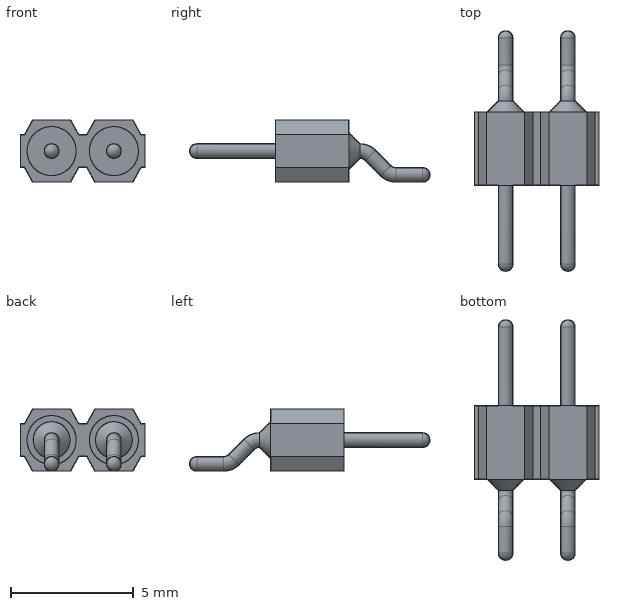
import cadquery as cq
import math


pin_count = 2
pitch = 2.54
housing_length = 3.0
crest_half_width = 0.77
shoulder_half_width = 1.11
shoulder_height = 0.67
half_height = pitch / 2
housing_half_width = pin_count * pitch / 2

overall_length = 9.8
pin_diameter = 0.6
barrel_diameter = 2.0
cone_diameter = 1.5
front_pin_length = 3.5
bend_radius = 0.6
bend_angle = math.radians(45)
pin_radius = pin_diameter / 2
cone_length = (cone_diameter - pin_diameter) / 2

tail_drop = half_height - pin_radius
bend_run = bend_radius * math.sin(bend_angle)
bend_drop = bend_radius * (1 - math.cos(bend_angle))
half_bend_run = bend_radius * math.sin(bend_angle / 2)
half_bend_drop = bend_radius * (1 - math.cos(bend_angle / 2))
slope_drop = tail_drop - 2 * bend_drop
slope_run = slope_drop / math.tan(bend_angle)
tail_start = housing_length + cone_length
lower_bend_end = tail_start + 2 * bend_run + slope_run
tail_tip_center = overall_length - front_pin_length - pin_radius

pin_positions = [(i - (pin_count - 1) / 2) * pitch for i in range(pin_count)]


def make_housing():
    """Row of flat-topped cells with notches between them, bored for the pins."""
    upper_edge = [(-housing_half_width, shoulder_height)]
    for x in pin_positions:
        upper_edge += [
            (x - shoulder_half_width, shoulder_height),
            (x - crest_half_width, half_height),
            (x + crest_half_width, half_height),
            (x + shoulder_half_width, shoulder_height),
        ]
    upper_edge.append((housing_half_width, shoulder_height))
    lower_edge = [(x, -z) for x, z in reversed(upper_edge)]
    block = cq.Workplane("XZ").polyline(upper_edge + lower_edge).close().extrude(-housing_length)
    bores = cq.Workplane("XZ").pushPoints([(x, 0) for x in pin_positions])
    return block.cut(bores.circle(barrel_diameter / 2).extrude(-housing_length))


def make_turned_part():
    """Round-tipped front pin, barrel and rear cone, revolved about the Y axis."""
    front_tip_center = -front_pin_length + pin_radius
    tip_arc_offset = pin_radius * math.sqrt(0.5)
    return (
        cq.Workplane("XY")
        .moveTo(0, -front_pin_length)
        .threePointArc(
            (tip_arc_offset, front_tip_center - tip_arc_offset),
            (pin_radius, front_tip_center),
        )
        .lineTo(pin_radius, 0)
        .lineTo(barrel_diameter / 2, 0)
        .lineTo(barrel_diameter / 2, housing_length)
        .lineTo(cone_diameter / 2, housing_length)
        .lineTo(pin_radius, tail_start)
        .lineTo(0, tail_start)
        .close()
        .revolve(360, (0, 0, 0), (0, 1, 0))
    )


def make_tail():
    """Round wire swept through two opposite bends, with a hemispherical tip."""
    path = (
        cq.Workplane("YZ")
        .moveTo(tail_start, 0)
        .threePointArc(
            (tail_start + half_bend_run, -half_bend_drop),
            (tail_start + bend_run, -bend_drop),
        )
        .lineTo(tail_start + bend_run + slope_run, -bend_drop - slope_drop)
        .threePointArc(
            (lower_bend_end - half_bend_run, -tail_drop + half_bend_drop),
            (lower_bend_end, -tail_drop),
        )
        .lineTo(tail_tip_center, -tail_drop)
    )
    wire = cq.Workplane("XZ", origin=(0, tail_start, 0)).circle(pin_radius).sweep(path)
    tip = cq.Workplane("XY").sphere(pin_radius).translate((0, tail_tip_center, -tail_drop))
    return wire.union(tip)


def make_pin(x):
    """One complete contact pin with its axis at the given x."""
    return make_turned_part().union(make_tail()).translate((x, 0, 0))


housing = make_housing()
pins = [make_pin(x) for x in pin_positions]

result = cq.Compound.makeCompound([housing.solids().val(), *[pin.solids().val() for pin in pins]])